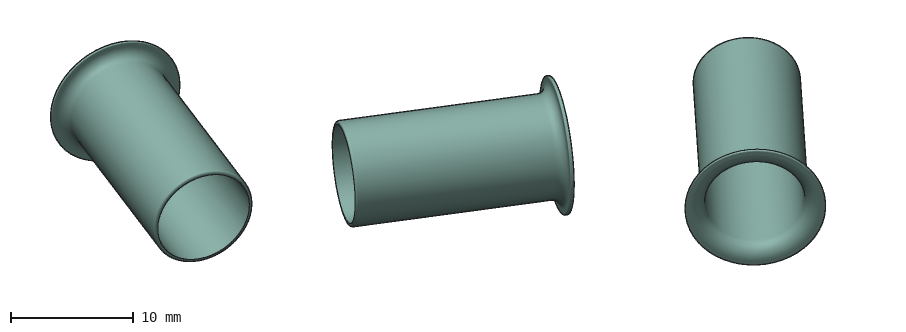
import cadquery as cq

length = 18.0
flange_diameter = 11.5
body_diameter = 8.78
wall = 0.3
flare_outer_radius = 0.9
rim_round = 0.1
end_round = 0.2

body_radius = body_diameter / 2
bore_radius = body_radius - wall
flange_radius = flange_diameter / 2
flare_inner_radius = flare_outer_radius + wall
flare_end = wall + flare_outer_radius


def revolved_sleeve():
    """Constant-wall profile in the XY plane, revolved about the X axis."""
    profile = (
        cq.Workplane("XY")
        .moveTo(length, bore_radius)
        .lineTo(flare_end, bore_radius)
        .radiusArc((0, bore_radius + flare_inner_radius), flare_inner_radius)
        .lineTo(0, flange_radius)
        .lineTo(wall, flange_radius)
        .lineTo(wall, body_radius + flare_outer_radius)
        .radiusArc((flare_end, body_radius), -flare_outer_radius)
        .lineTo(length, body_radius)
        .close()
    )
    return profile.revolve(360, (0, 0, 0), (1, 0, 0))


def round_edges(sleeve):
    """Round both flange rim edges and the outer edge of the plain end."""
    largest_circles = cq.selectors.RadiusNthSelector(-1)
    rim_rounded = sleeve.edges(largest_circles).fillet(rim_round)
    return rim_rounded.faces(">X").edges(largest_circles).fillet(end_round)


result = round_edges(revolved_sleeve())